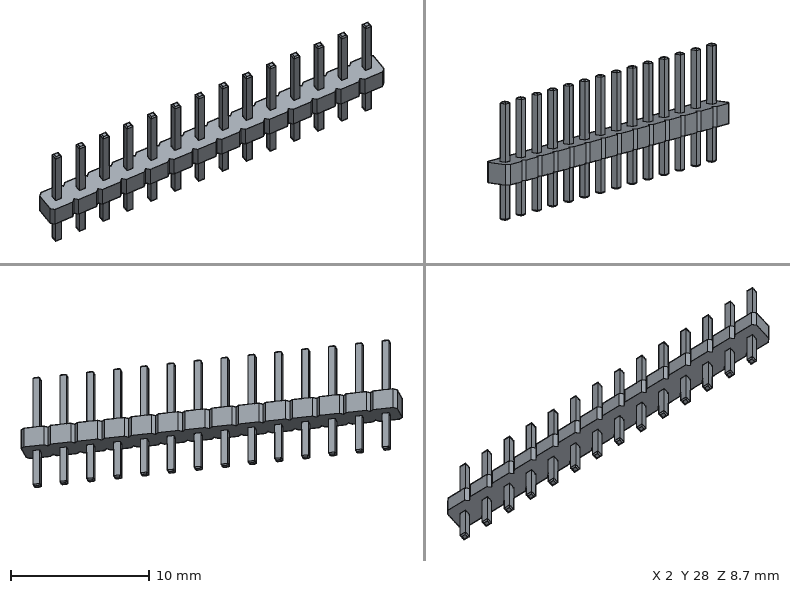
import cadquery as cq

pin_count = 14
row_length = 28.0
pitch = row_length / pin_count

body_height = 1.5
cell_chamfer = 0.25

pin_width = 0.5
pin_above_body = 4.4
pin_below_body = 2.8
pin_length = pin_below_body + body_height + pin_above_body
tip_chamfer = 0.1


def make_cell():
    """Square block with its vertical corners chamfered."""
    block = cq.Workplane("XY").rect(pitch, pitch).extrude(body_height)
    return block.edges("|Z").chamfer(cell_chamfer)


def make_pin():
    """Square pin through the body, chamfered around both ends."""
    pin = (
        cq.Workplane("XY")
        .workplane(offset=-pin_below_body)
        .rect(pin_width, pin_width)
        .extrude(pin_length)
    )
    return pin.faces("<Z or >Z").edges().chamfer(tip_chamfer)


station = make_cell().union(make_pin())
first_pin_y = -(row_length - pitch) / 2

result = station.translate((0, first_pin_y, 0))
for index in range(1, pin_count):
    result = result.union(station.translate((0, first_pin_y + index * pitch, 0)))